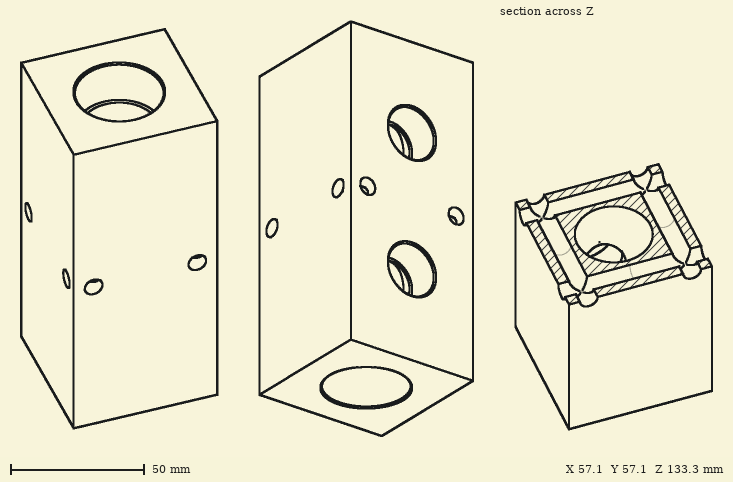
import cadquery as cq

BLOCK_WIDTH = 57.15
BLOCK_HEIGHT = 133.35

BORE_DIAMETER = 29.0
END_PORT_MOUTH_DIAMETER = 34.4
END_PORT_THREAD_DIAMETER = 33.2
END_PORT_DEPTH = 17.3

SIDE_PORT_DRILL_DIAMETER = 18.0
SIDE_PORT_MOUTH_DIAMETER = 22.6
SIDE_PORT_THREAD_DIAMETER = 21.3
SIDE_PORT_DEPTH = 13.6
SIDE_PORT_SPACING = 57.15

THREAD_TAPER = 1 / 16

MOUNT_HOLE_DIAMETER = 7.0
MOUNT_HOLE_SPACING = 41.275


def tapered_port(mouth_diameter, thread_diameter, depth, drill_diameter, drill_depth):
    """Port cutter with its mouth at the origin, running along -Z:
    a 45 degree mouth chamfer, a tapered thread and a straight drill."""
    mouth_radius = mouth_diameter / 2
    thread_radius = thread_diameter / 2
    drill_radius = drill_diameter / 2
    chamfer = mouth_radius - thread_radius
    end_radius = thread_radius - (depth - chamfer) * THREAD_TAPER / 2
    profile = [
        (0, 0),
        (mouth_radius, 0),
        (thread_radius, -chamfer),
        (end_radius, -depth),
        (drill_radius, -depth),
        (drill_radius, -drill_depth),
        (0, -drill_depth),
    ]
    return cq.Workplane("XZ").polyline(profile).close().revolve(360, (0, 0, 0), (0, 1, 0))


def cut_end_ports(body):
    """Two opposed end ports whose drills meet at mid height to form the main bore."""
    top_port = tapered_port(
        END_PORT_MOUTH_DIAMETER,
        END_PORT_THREAD_DIAMETER,
        END_PORT_DEPTH,
        BORE_DIAMETER,
        BLOCK_HEIGHT / 2,
    ).translate((0, 0, BLOCK_HEIGHT / 2))
    return body.cut(top_port).cut(top_port.mirror("XY"))


def cut_side_ports(body):
    """Side ports drilled from the -X face as far as the main bore axis."""
    port = tapered_port(
        SIDE_PORT_MOUTH_DIAMETER,
        SIDE_PORT_THREAD_DIAMETER,
        SIDE_PORT_DEPTH,
        SIDE_PORT_DRILL_DIAMETER,
        BLOCK_WIDTH / 2,
    ).rotate((0, 0, 0), (0, 1, 0), -90)
    for side in (-1, 1):
        body = body.cut(port.translate((-BLOCK_WIDTH / 2, 0, side * SIDE_PORT_SPACING / 2)))
    return body


def cut_mounting_holes(body):
    """Two through holes along X and two along Y."""
    offset = MOUNT_HOLE_SPACING / 2
    for plane in ("YZ", "XZ"):
        holes = (
            cq.Workplane(plane)
            .pushPoints([(-offset, 0), (offset, 0)])
            .circle(MOUNT_HOLE_DIAMETER / 2)
            .extrude(BLOCK_WIDTH / 2, both=True)
        )
        body = body.cut(holes)
    return body


result = cq.Workplane("XY").box(BLOCK_WIDTH, BLOCK_WIDTH, BLOCK_HEIGHT)
result = cut_end_ports(result)
result = cut_side_ports(result)
result = cut_mounting_holes(result)